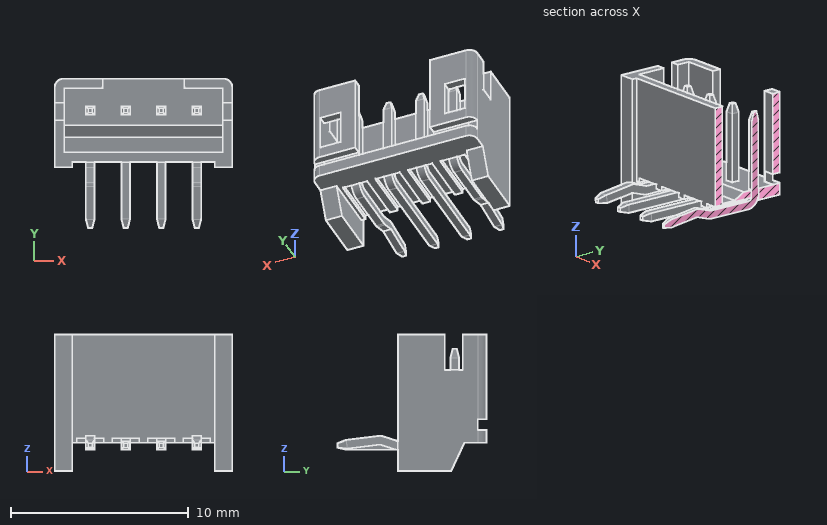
import cadquery as cq
import math

width = 10.0
depth = 5.0
height = 7.7
wall = 0.55
corner_radius = 0.5

leg_width = 1.0
front_inset = 0.3
leg_rear_base = 3.0
leg_rear_top = 3.75

floor_bottom = 1.6
floor_top = 2.32
floor_step = 0.37
ramp_front = 1.7
ramp_rear = 2.36

rear_opening = 4.6
rear_slot_height = 0.6
rear_slot_depth = corner_radius
side_notch_width = 1.0
side_notch_middle = 3.15
side_notch_bottom = 5.7
window_inner = 3.2
window_bottom = 3.6
window_top = side_notch_bottom

pin_count = 4
pin_pitch = 2.0
pin_size = 0.5
pin_tip_size = 0.24
pin_tip_length = 0.51
pin_y = 3.2
pin_top = 6.9
bend_radius = 0.25
lead_top = 1.7
lead_end = -3.41
kink_rise = math.radians(18)
kink_fall = math.radians(7)
kink_rise_length = 0.89

lead_slot_width = 1.5
lead_slot_height = 0.25

inner_half = width / 2 - wall
inner_front = front_inset + wall
inner_rear = depth - wall
post_front = pin_y - pin_size / 2
post_rear = pin_y + pin_size / 2
post_shoulder = pin_top - pin_tip_length
lead_bottom = lead_top - pin_size
pin_places = [(i - (pin_count - 1) / 2) * pin_pitch for i in range(pin_count)]


def block(x0, x1, y0, y1, z0, z1):
    """Box between two opposite corners."""
    return cq.Workplane("XY").box(x1 - x0, y1 - y0, z1 - z0, centered=False).translate((x0, y0, z0))


def make_shell():
    """Outer body with legs, before the openings are cut."""
    side_outline = [
        (0, 0),
        (leg_rear_base, 0),
        (leg_rear_top, floor_bottom),
        (depth, floor_bottom),
        (depth, height),
        (0, height),
    ]
    shell = cq.Workplane("YZ").polyline(side_outline).close().extrude(width / 2, both=True)
    shell = shell.edges("|Z and >Y").fillet(corner_radius)
    between_legs = width / 2 - leg_width
    shell = shell.cut(block(-between_legs, between_legs, 0, front_inset, 0, height))
    return shell.cut(block(-between_legs, between_legs, 0, depth, 0, floor_bottom))


def make_cavity():
    """Space inside the walls, with a ramp down to the low strip of floor."""
    cavity_outline = [
        (inner_front, floor_top - floor_step),
        (ramp_front, floor_top - floor_step),
        (ramp_rear, floor_top),
        (inner_rear, floor_top),
        (inner_rear, height),
        (inner_front, height),
    ]
    return cq.Workplane("YZ").polyline(cavity_outline).close().extrude(inner_half, both=True)


def make_housing(pins):
    housing = make_shell().cut(make_cavity())

    housing = housing.cut(
        block(-rear_opening / 2, rear_opening / 2, inner_rear, depth, floor_top, height)
    )
    slot_top = floor_top + rear_slot_height
    housing = housing.cut(
        block(-width / 2, width / 2, depth - rear_slot_depth, depth, floor_top, slot_top)
    )
    right_window = block(window_inner, inner_half, inner_rear, depth, window_bottom, window_top)
    housing = housing.cut(right_window).cut(right_window.mirror("YZ"))

    notch_front = side_notch_middle - side_notch_width / 2
    notch_rear = side_notch_middle + side_notch_width / 2
    housing = housing.cut(
        block(-width / 2, width / 2, notch_front, notch_rear, side_notch_bottom, height)
    )

    for x in pin_places:
        housing = housing.cut(
            block(
                x - lead_slot_width / 2, x + lead_slot_width / 2,
                front_inset, post_rear,
                floor_bottom, floor_bottom + lead_slot_height,
            )
        )
    for pin in pins:
        housing = housing.cut(pin)
    return housing


def make_tip(origin, direction):
    """Tapered square end that starts at origin and points along direction."""
    plane = cq.Plane(origin=origin, xDir=(1, 0, 0), normal=direction)
    return (
        cq.Workplane(plane)
        .rect(pin_size, pin_size)
        .workplane(offset=pin_tip_length)
        .rect(pin_tip_size, pin_tip_size)
        .loft()
    )


def polar(center, radius, angle):
    """YZ point at a radius from center, at an angle tilted forward from straight up.
    A negative radius gives the point on the opposite side.
    """
    return (center[0] - radius * math.sin(angle), center[1] + radius * math.cos(angle))


def make_pin(kinked):
    """Right-angle pin in the middle plane; a kinked lead rises and then falls again."""
    diagonal = math.sqrt(0.5)
    bend_center = (post_front - bend_radius, lead_top + bend_radius)
    outer_radius = bend_radius + pin_size

    outline = (
        cq.Workplane("YZ")
        .moveTo(post_front, post_shoulder)
        .lineTo(post_front, bend_center[1])
        .threePointArc(
            (bend_center[0] + bend_radius * diagonal, bend_center[1] - bend_radius * diagonal),
            (bend_center[0], lead_top),
        )
    )
    if kinked:
        rise_fold = (0, lead_top)
        rise_start = polar(rise_fold, -pin_size, -kink_rise)
        fall_fold = (
            rise_start[0] - kink_rise_length * math.cos(kink_rise),
            rise_start[1] + kink_rise_length * math.sin(kink_rise),
        )
        fall_tilt = (-math.cos(kink_fall), -math.sin(kink_fall))
        fold_middle = polar(fall_fold, pin_size / 2, kink_fall)
        tip_lean = pin_tip_size / 2 * math.sin(kink_fall)
        fall_length = (fold_middle[0] - tip_lean - lead_end) / math.cos(kink_fall) - pin_tip_length
        lower_end = (
            fall_fold[0] + fall_length * fall_tilt[0],
            fall_fold[1] + fall_length * fall_tilt[1],
        )
        outline = (
            outline.lineTo(*rise_fold)
            .lineTo(*polar(fall_fold, pin_size, -kink_rise))
            .threePointArc(
                polar(fall_fold, pin_size, (kink_fall - kink_rise) / 2),
                polar(fall_fold, pin_size, kink_fall),
            )
            .lineTo(*polar(lower_end, pin_size, kink_fall))
            .lineTo(*lower_end)
            .lineTo(*fall_fold)
            .lineTo(*rise_start)
            .threePointArc(polar(rise_fold, -pin_size, -kink_rise / 2), (0, lead_bottom))
        )
        tip_middle = polar(lower_end, pin_size / 2, kink_fall)
        tip_direction = (0, *fall_tilt)
    else:
        lead_shoulder = lead_end + pin_tip_length
        outline = outline.lineTo(lead_shoulder, lead_top).lineTo(lead_shoulder, lead_bottom)
        tip_middle = (lead_shoulder, lead_top - pin_size / 2)
        tip_direction = (0, -1, 0)

    pin = (
        outline.lineTo(bend_center[0], lead_bottom)
        .threePointArc(
            (bend_center[0] + outer_radius * diagonal, bend_center[1] - outer_radius * diagonal),
            (post_rear, bend_center[1]),
        )
        .lineTo(post_rear, post_shoulder)
        .close()
        .extrude(pin_size / 2, both=True)
    )
    pin = pin.union(make_tip((0, pin_y, post_shoulder), (0, 0, 1)))
    return pin.union(make_tip((0, *tip_middle), tip_direction))


pins = []
for index, x in enumerate(pin_places):
    outermost = index in (0, pin_count - 1)
    pins.append(make_pin(outermost).translate((x, 0, 0)))

housing = make_housing(pins)

result = cq.Compound.makeCompound([housing.val(), *[pin.val() for pin in pins]])